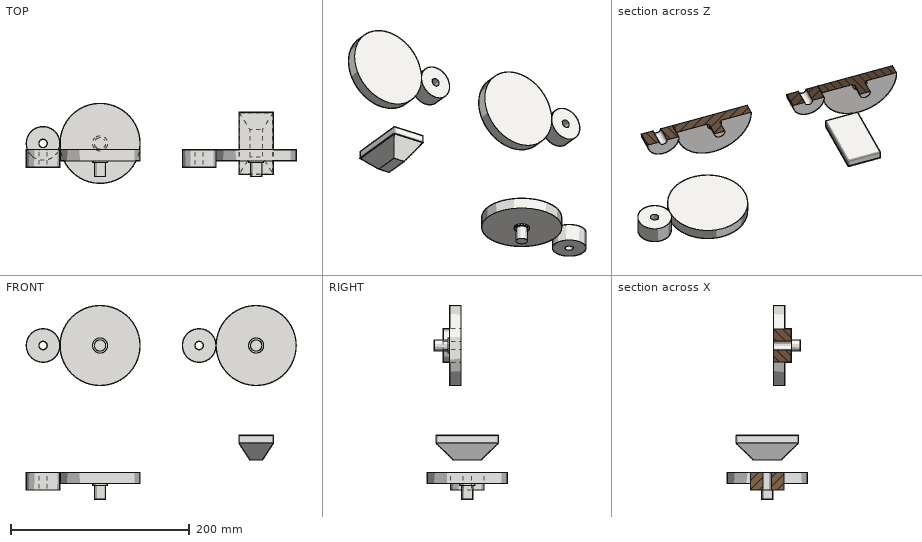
import cadquery as cq

drum_diameter = 90.0
drum_thickness = 12.7
collar_diameter = 17.0
collar_thickness = 1.8
shaft_diameter = 12.7
shaft_tip_depth = 30.3
roller_diameter = 38.0
roller_length = 20.0
roller_bore = 9.0
drum_offset = (roller_diameter + drum_diameter) / 2

overall_length = 303.0
overall_height = 217.5
pair_length = roller_diameter + drum_diameter
pair_spacing = overall_length - pair_length
upright_axis_z = overall_height - drum_diameter / 2
upright_back_y = -7.0

slab_length_x = 39.0
slab_length_y = 70.3
slab_thickness = 9.0
slab_rounding = 1.0
foot_length_x = 14.0
foot_length_y = 31.0
stand_bottom_z = 44.0
stand_height = 28.2
stand_x = pair_spacing + drum_offset

flat_plane = cq.Plane(origin=(0, 0, shaft_tip_depth), xDir=(1, 0, 0), normal=(0, 0, -1))
upright_planes = [
    cq.Plane(origin=(x, upright_back_y, upright_axis_z), xDir=(1, 0, 0), normal=(0, -1, 0))
    for x in (0, pair_spacing)
]
pair_planes = [flat_plane, *upright_planes]


def make_roller(plane):
    """Plain roller with a through bore."""
    return (
        cq.Workplane(plane)
        .circle(roller_diameter / 2)
        .circle(roller_bore / 2)
        .extrude(roller_length)
    )


def make_drum(plane):
    """Disc with a thin collar and a projecting shaft on its front face."""
    back = cq.Workplane(plane).center(drum_offset, 0)
    disc = back.circle(drum_diameter / 2).extrude(drum_thickness)
    collar = back.circle(collar_diameter / 2).extrude(drum_thickness + collar_thickness)
    shaft = back.circle(shaft_diameter / 2).extrude(shaft_tip_depth)
    return disc.union(collar).union(shaft)


def make_stand():
    """Slab with all edges rounded, carried by a foot that narrows from the slab outline."""
    foot_height = stand_height - slab_thickness
    slab = (
        cq.Workplane("XY", origin=(stand_x, 0, stand_bottom_z + foot_height))
        .box(slab_length_x, slab_length_y, slab_thickness, centered=(True, True, False))
        .edges()
        .fillet(slab_rounding)
    )
    foot = (
        cq.Workplane("XY", origin=(stand_x, 0, stand_bottom_z))
        .rect(foot_length_x, foot_length_y)
        .workplane(offset=foot_height)
        .rect(slab_length_x, slab_length_y)
        .loft(ruled=True)
    )
    return slab.union(foot)


rollers = [make_roller(plane) for plane in pair_planes]
drums = [make_drum(plane) for plane in pair_planes]
stand = make_stand()

result = cq.Compound.makeCompound(
    [
        *[roller.val() for roller in rollers],
        *[drum.val() for drum in drums],
        stand.val(),
    ]
)